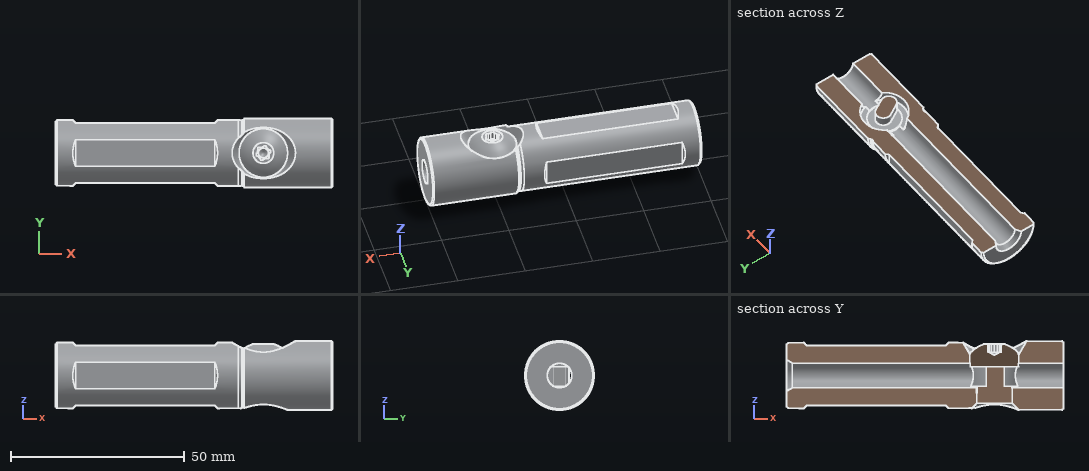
import cadquery as cq
import math

total_length = 80.0

handle_diameter = 19.0
handle_chamfer = 0.6
head_diameter = 20.0
head_start_x = 54.1
head_start_chamfer = (head_diameter - handle_diameter) / 2
head_end_chamfer = 0.4

bore_diameter = 7.0
countersink_diameter = 9.0
countersink_half_angle = 30.0
countersink_depth = (countersink_diameter - bore_diameter) / 2 / math.tan(math.radians(countersink_half_angle))

flat_count = 4
flat_start_x = 5.8
flat_length = 40.2
flat_distance = 8.7

band_start_x = 52.8
band_width = 1.0
band_thickness = 0.1

screw_x = 60.0
screw_diameter = 14.0
screw_dome_radius = 9.6
screw_top_z = 9.1

pin_tail_diameter = 10.2
cam_top_z = 2.5
cam_bottom_z = -3.0
cam_radius = 2.4
cam_center_y = 0.4
cam_center_distance = 4.0
cam_tilt = 30.0

opening_z = head_diameter / 2
top_opening_radius = 9.3
top_opening_half_angle = 30.0
bottom_opening_radius = 7.0
bottom_opening_half_angle = 45.0
top_flare_depth = (top_opening_radius - screw_diameter / 2) / math.tan(math.radians(top_opening_half_angle))
top_flare_z = opening_z - top_flare_depth
bottom_flare_depth = (
    (bottom_opening_radius - pin_tail_diameter / 2) / math.tan(math.radians(bottom_opening_half_angle))
)
bottom_flare_z = -opening_z + bottom_flare_depth

socket_core_diameter = 3.5
socket_lobe_diameter = 1.0
socket_lobe_count = 6
socket_lobe_circle_radius = 1.7
socket_turn = 15.0
socket_depth = 2.4
drill_diameter = 2.9
drill_point_depth = 0.8


def cylinder_x(diameter, start_x, end_x):
    return cq.Workplane("YZ", origin=(start_x, 0, 0)).circle(diameter / 2).extrude(end_x - start_x)


def cylinder_z(diameter, bottom_z, top_z):
    return cq.Workplane("XY", origin=(screw_x, 0, bottom_z)).circle(diameter / 2).extrude(top_z - bottom_z)


def make_screw_passage():
    """Stepped hole for the screw, flared at both ends."""
    tail_radius = pin_tail_diameter / 2
    head_radius = screw_diameter / 2
    half_profile = (
        cq.Workplane("XZ", origin=(screw_x, 0, 0))
        .moveTo(0, -opening_z)
        .lineTo(bottom_opening_radius, -opening_z)
        .lineTo(tail_radius, bottom_flare_z)
        .lineTo(tail_radius, cam_bottom_z)
        .lineTo(head_radius, cam_bottom_z)
        .lineTo(head_radius, top_flare_z)
        .lineTo(top_opening_radius, opening_z)
        .lineTo(0, opening_z)
        .close()
    )
    return half_profile.revolve(360, (0, 0, 0), (0, 1, 0))


def make_flat_cutter():
    """Cutter for one grip flat on top of the handle, with ends sloping at 45 degrees."""
    outer_z = head_diameter / 2
    rise = outer_z - flat_distance
    flat_end_x = flat_start_x + flat_length
    profile = cq.Workplane("XZ").polyline([
        (flat_start_x, flat_distance),
        (flat_end_x, flat_distance),
        (flat_end_x + rise, outer_z),
        (flat_start_x - rise, outer_z),
    ])
    return profile.close().extrude(handle_diameter / 2, both=True)


def make_band_blank():
    """Full ring that fills the groove around the handle."""
    band_end_x = band_start_x + band_width
    outer = cylinder_x(handle_diameter, band_start_x, band_end_x)
    return outer.cut(cylinder_x(handle_diameter - 2 * band_thickness, band_start_x, band_end_x))


def make_countersink():
    cone = cq.Solid.makeCone(
        countersink_diameter / 2,
        bore_diameter / 2,
        countersink_depth,
        cq.Vector(0, 0, 0),
        cq.Vector(1, 0, 0),
    )
    return cq.Workplane(obj=cone)


def make_housing(screw_passage, band_blank):
    handle = cylinder_x(handle_diameter, 0, head_start_x).faces("<X").chamfer(handle_chamfer)
    flat_cutter = make_flat_cutter()
    for index in range(flat_count):
        angle = index * 360 / flat_count
        handle = handle.cut(flat_cutter.rotate((0, 0, 0), (1, 0, 0), angle))
    head = cylinder_x(head_diameter, head_start_x, total_length)
    head = head.faces("<X").chamfer(head_start_chamfer)
    head = head.faces(">X").chamfer(head_end_chamfer)
    housing = handle.union(head)
    housing = housing.cut(cylinder_x(bore_diameter, 0, total_length))
    housing = housing.cut(make_countersink())
    return housing.cut(band_blank).cut(screw_passage)


def make_marking_band(screw_passage, band_blank):
    """Band in the groove, open where the flared screw hole crosses it."""
    return band_blank.cut(screw_passage)


def make_socket():
    floor_z = screw_top_z - socket_depth
    socket = cylinder_z(socket_core_diameter, floor_z, screw_top_z)
    lobes = (
        cq.Workplane("XY", origin=(screw_x, 0, floor_z))
        .polarArray(socket_lobe_circle_radius, socket_turn, 360, socket_lobe_count)
        .circle(socket_lobe_diameter / 2)
        .extrude(socket_depth)
    )
    drill_point = cq.Solid.makeCone(
        drill_diameter / 2,
        0,
        drill_point_depth,
        cq.Vector(screw_x, 0, floor_z),
        cq.Vector(0, 0, -1),
    )
    return socket.union(lobes).union(cq.Workplane(obj=drill_point))


def make_screw():
    dome = cq.Workplane("XY").sphere(screw_dome_radius).translate((screw_x, 0, 0))
    screw = cylinder_z(screw_diameter, cam_top_z, screw_top_z).intersect(dome)
    return screw.cut(make_socket())


def make_clamp_pin():
    """Round tail carrying a cam that is tilted about the vertical."""
    tail = cylinder_z(pin_tail_diameter, bottom_flare_z, cam_bottom_z)
    cam = (
        cq.Workplane("XY", origin=(0, 0, cam_bottom_z))
        .center(0, -cam_center_distance / 2)
        .slot2D(cam_center_distance + 2 * cam_radius, 2 * cam_radius, 90)
        .extrude(cam_top_z - cam_bottom_z)
    )
    cam = cam.rotate((0, 0, 0), (0, 0, 1), cam_tilt).translate((screw_x, cam_center_y, 0))
    return tail.union(cam)


screw_passage = make_screw_passage()
band_blank = make_band_blank()
housing = make_housing(screw_passage, band_blank)
marking_band = make_marking_band(screw_passage, band_blank)
screw = make_screw()
clamp_pin = make_clamp_pin()

result = cq.Compound.makeCompound([housing.val(), marking_band.val(), screw.val(), clamp_pin.val()])